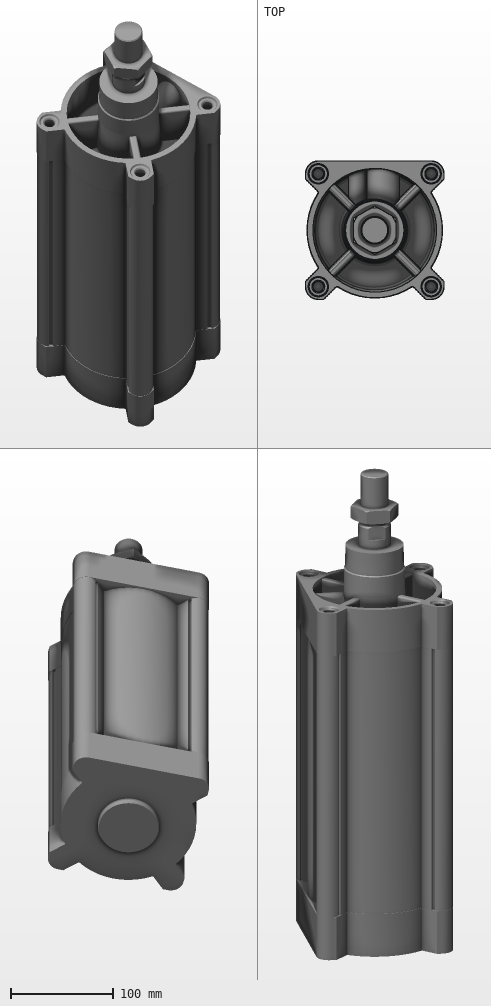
import cadquery as cq
import math

BASE_BOSS_HEIGHT = 7.0
CAP_HEIGHT = 44.0
TUBE_HEIGHT = 270.5
TUBE_BOTTOM = BASE_BOSS_HEIGHT + CAP_HEIGHT
TUBE_TOP = TUBE_BOTTOM + TUBE_HEIGHT
CAP_TOP = TUBE_TOP + CAP_HEIGHT
COLLAR_TOP = 388.0
SLEEVE_TOP = 411.5
FLATS_BOTTOM = 420.5
SHANK_TOP = 433.5
NECK_TOP = 437.0
NUT_BOTTOM = 439.0
NUT_HEIGHT = 13.5
TOTAL_HEIGHT = 485.0

OVERALL_WIDTH = 136.0
HALF_WIDTH = OVERALL_WIDTH / 2
CAP_RADIUS = 66.5
TUBE_RADIUS = 66.0
LUG_ROOT_FILLET = 1.0
LUG_END_RADIUS = 12.5
LUG_OFFSET = HALF_WIDTH - LUG_END_RADIUS
LUG_DISTANCE = LUG_OFFSET * math.sqrt(2)
LUG_WIDTH = 2 * LUG_END_RADIUS
LUG_ANGLES = (45, 135, 225, 315)
TUBE_LUG_WIDTH = 24.5
TUBE_GROOVE_START = 76.5
TUBE_GROOVE_WIDTH = 4.0
TUBE_GROOVE_DEPTH = 2.5

COLLAR_DIAMETER = 60.0
EDGE_CHAMFER = 1.0
SLEEVE_BOTTOM_DIAMETER = 57.5
SLEEVE_TOP_DIAMETER = 57.0

RECESS_DEPTH = 41.0
RECESS_TOP_RADIUS = 60.5
RECESS_DRAFT = 2.5
RECESS_FILLET = 2.5
RECESS_FLOOR = CAP_TOP - RECESS_DEPTH
RIB_DROP = 1.5
RIB_TOP_WIDTH = 7.5
RIB_BASE_WIDTH = 10.0
RIB_EDGE_RADIUS = 2.0
PORT_DIAMETER = 32.0
PORT_X = 8.2
PORT_Z = 344.5
SIDE_PORT_DIAMETER = 18.0
SIDE_PORT_X = -17.0
SIDE_PORT_Z = 339.5

SOCKET_DIAMETER = 20.0
SOCKET_FLOOR_DIAMETER = 18.0
SOCKET_DEPTH = 1.5
SCREW_HOLE_DIAMETER = 10.0
SCREW_HOLE_MOUTH = 12.5
SCREW_HOLE_DEPTH = 14.5

ROD_DIAMETER = 32.0
ROD_FLATS = 27.0
SHANK_CHAMFER = 1.5
NECK_DIAMETER = 24.5
THREAD_DIAMETER = 27.0
THREAD_CHAMFER = 1.0
NUT_FLATS = 41.0
NUT_FACE_DIAMETER = 43.5
NUT_CHAMFER_HEIGHT = 1.0


def cylinder(diameter, bottom, top):
    return cq.Workplane("XY").workplane(offset=bottom).circle(diameter / 2).extrude(top - bottom)


def cone(bottom_diameter, top_diameter, bottom, top):
    profile = [
        (0, bottom),
        (bottom_diameter / 2, bottom),
        (top_diameter / 2, top),
        (0, top),
    ]
    return cq.Workplane("XZ").polyline(profile).close().revolve(360, (0, 0, 0), (0, 1, 0))


def around(shape, angle):
    return shape.rotate((0, 0, 0), (0, 0, 1), angle)


def slab(bottom, top):
    square = cq.Workplane("XY").workplane(offset=bottom).rect(OVERALL_WIDTH, OVERALL_WIDTH)
    return square.extrude(top - bottom).edges("|Z").fillet(LUG_END_RADIUS)


def lug_bar(width, length, bottom, top):
    """Radial bar along +X, starting on the cylinder axis."""
    bar = cq.Workplane("XY").workplane(offset=bottom).center(length / 2, 0).rect(length, width)
    return bar.extrude(top - bottom)


def fillet_lug_roots(body, radius):
    """Round the upright inner corners where the lugs leave a barrel of the given radius."""
    tolerance = 0.5
    roots = [
        edge for edge in body.edges("|Z").vals()
        if abs(math.hypot(edge.Center().x, edge.Center().y) - radius) < tolerance
    ]
    return body.newObject(roots).fillet(LUG_ROOT_FILLET)


def cap(bottom):
    """Round end cap with four diagonal lugs and one flat side joining the two +Y lugs."""
    top = bottom + CAP_HEIGHT
    arms = cylinder(2 * CAP_RADIUS, bottom, top)
    for angle in LUG_ANGLES:
        arms = arms.union(around(lug_bar(LUG_WIDTH, OVERALL_WIDTH, bottom, top), angle))
    flat_side = (
        cq.Workplane("XY")
        .workplane(offset=bottom)
        .polyline([(0, 0), (HALF_WIDTH, HALF_WIDTH), (-HALF_WIDTH, HALF_WIDTH)])
        .close()
        .extrude(CAP_HEIGHT)
    )
    return fillet_lug_roots(arms.union(flat_side), CAP_RADIUS).intersect(slab(bottom, top))


def tube_lug():
    """Round-ended lug along +X with a shallow groove down each flank."""
    end = cylinder(TUBE_LUG_WIDTH, TUBE_BOTTOM, TUBE_TOP).translate((LUG_DISTANCE, 0, 0))
    lug = lug_bar(TUBE_LUG_WIDTH, LUG_DISTANCE, TUBE_BOTTOM, TUBE_TOP).union(end)
    grooves = (
        cq.Workplane("XY")
        .workplane(offset=TUBE_BOTTOM)
        .pushPoints([
            (TUBE_GROOVE_START + TUBE_GROOVE_WIDTH / 2, side * TUBE_LUG_WIDTH / 2)
            for side in (-1, 1)
        ])
        .rect(TUBE_GROOVE_WIDTH, 2 * TUBE_GROOVE_DEPTH)
        .extrude(TUBE_HEIGHT)
    )
    return lug.cut(grooves)


def tube():
    barrel = cylinder(2 * TUBE_RADIUS, TUBE_BOTTOM, TUBE_TOP)
    for angle in LUG_ANGLES:
        barrel = barrel.union(around(tube_lug(), angle))
    return fillet_lug_roots(barrel, TUBE_RADIUS)


def recess_pocket():
    """Drafted round pocket, open at the top of the cap."""
    top_diameter = 2 * RECESS_TOP_RADIUS
    return cone(top_diameter - 2 * RECESS_DRAFT, top_diameter, RECESS_FLOOR, CAP_TOP)


def rib(angle):
    height = RECESS_DEPTH - RIB_DROP
    profile = [
        (-RIB_BASE_WIDTH / 2, RECESS_FLOOR),
        (RIB_BASE_WIDTH / 2, RECESS_FLOOR),
        (RIB_TOP_WIDTH / 2, RECESS_FLOOR + height),
        (-RIB_TOP_WIDTH / 2, RECESS_FLOOR + height),
    ]
    bar = cq.Workplane("YZ").polyline(profile).close().extrude(RECESS_TOP_RADIUS)
    return around(bar.edges("|X and >Z").fillet(RIB_EDGE_RADIUS), angle)


def port_boss(diameter, x, z):
    """Horizontal cylinder from the cylinder axis out to +Y."""
    return cq.Workplane("XZ").center(x, z).circle(diameter / 2).extrude(-RECESS_TOP_RADIUS)


def recess():
    """Empty space of the recess: the pocket minus the boss, ribs and port cylinders."""
    centre_boss = cone(COLLAR_DIAMETER + 2 * RECESS_DRAFT, COLLAR_DIAMETER, RECESS_FLOOR, CAP_TOP)
    space = recess_pocket().cut(centre_boss).faces("<Z").edges().fillet(RECESS_FILLET)
    for angle in LUG_ANGLES:
        space = space.cut(rib(angle))
    space = space.cut(port_boss(PORT_DIAMETER, PORT_X, PORT_Z))
    return space.cut(port_boss(SIDE_PORT_DIAMETER, SIDE_PORT_X, SIDE_PORT_Z))


def screw_socket():
    """Shallow conical socket with a countersunk hole, on the cylinder axis."""
    hole_top = CAP_TOP - SOCKET_DEPTH
    mouth_depth = (SCREW_HOLE_MOUTH - SCREW_HOLE_DIAMETER) / 2
    socket = cone(SOCKET_FLOOR_DIAMETER, SOCKET_DIAMETER, hole_top, CAP_TOP)
    socket = socket.union(cone(SCREW_HOLE_DIAMETER, SCREW_HOLE_MOUTH, hole_top - mouth_depth, hole_top))
    return socket.union(cylinder(SCREW_HOLE_DIAMETER, hole_top - SCREW_HOLE_DEPTH, hole_top))


def collar():
    """Collar and slightly tapered sleeve that guide the rod."""
    base = cylinder(COLLAR_DIAMETER, CAP_TOP, COLLAR_TOP).faces(">Z").chamfer(EDGE_CHAMFER)
    return base.union(cone(SLEEVE_BOTTOM_DIAMETER, SLEEVE_TOP_DIAMETER, COLLAR_TOP, SLEEVE_TOP))


def make_housing():
    base_boss = cylinder(COLLAR_DIAMETER, 0, BASE_BOSS_HEIGHT).faces("<Z").chamfer(EDGE_CHAMFER)
    body = base_boss.union(cap(BASE_BOSS_HEIGHT)).union(tube())
    body = body.union(cap(TUBE_TOP).cut(recess())).union(collar())
    for x in (-LUG_OFFSET, LUG_OFFSET):
        for y in (-LUG_OFFSET, LUG_OFFSET):
            body = body.cut(screw_socket().translate((x, y, 0)))
    return body.cut(cylinder(ROD_DIAMETER, TUBE_TOP, SLEEVE_TOP))


def make_rod():
    shank = cylinder(ROD_DIAMETER, TUBE_TOP, SHANK_TOP).faces(">Z").chamfer(SHANK_CHAMFER)
    flats_height = SHANK_TOP - FLATS_BOTTOM
    between_flats = (
        cq.Workplane("XY").workplane(offset=FLATS_BOTTOM).rect(ROD_FLATS, ROD_DIAMETER).extrude(flats_height)
    )
    shank = shank.intersect(between_flats.union(cylinder(ROD_DIAMETER, TUBE_TOP, FLATS_BOTTOM)))
    neck = cylinder(NECK_DIAMETER, SHANK_TOP, NECK_TOP)
    thread = cylinder(THREAD_DIAMETER, NECK_TOP, TOTAL_HEIGHT).faces(">Z").chamfer(THREAD_CHAMFER)
    return shank.union(neck).union(thread)


def make_nut():
    """Hexagon nut with corners on the Y axis and bevelled corners at both ends."""
    corner_diameter = NUT_FLATS / math.cos(math.pi / 6)
    nut_top = NUT_BOTTOM + NUT_HEIGHT
    hexagon = cq.Workplane("XY").workplane(offset=NUT_BOTTOM).polygon(6, corner_diameter).extrude(NUT_HEIGHT)
    lower_edge = NUT_BOTTOM + NUT_CHAMFER_HEIGHT
    upper_edge = nut_top - NUT_CHAMFER_HEIGHT
    envelope = cone(NUT_FACE_DIAMETER, corner_diameter, NUT_BOTTOM, lower_edge)
    envelope = envelope.union(cylinder(corner_diameter, lower_edge, upper_edge))
    envelope = envelope.union(cone(corner_diameter, NUT_FACE_DIAMETER, upper_edge, nut_top))
    nut = around(hexagon, 90).intersect(envelope)
    return nut.cut(cylinder(THREAD_DIAMETER, NUT_BOTTOM, nut_top))


housing = make_housing()
rod = make_rod()
nut = make_nut()

result = cq.Compound.makeCompound([housing.val(), rod.val(), nut.val()])